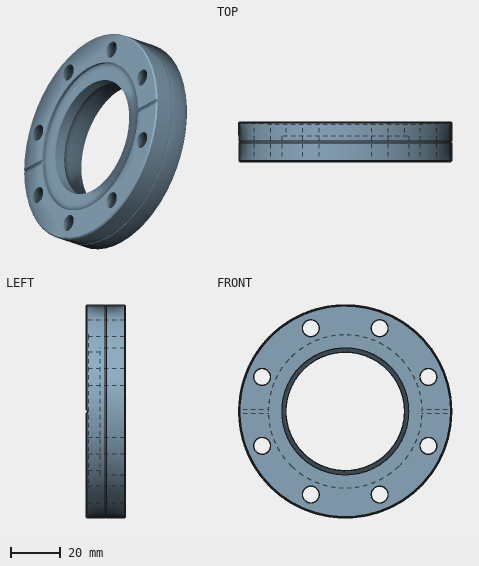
import cadquery as cq

outer_diameter = 85.7
thickness = 16.0
front_y = -thickness / 2
back_y = thickness / 2
edge_chamfer = 0.5

bore_diameter = 47.6
counterbore_diameter = 51.1
counterbore_depth = 10.3

recess_diameter = 61.7
recess_depth = 1.1

bolt_hole_count = 8
bolt_hole_diameter = 6.7
bolt_circle_radius = 36.2
bolt_start_angle = 180 / bolt_hole_count

rim_groove_width = 0.8
rim_groove_depth = 0.25

back_groove_radius = 0.85
back_groove_depth = 0.7


def cylinder(diameter, start_y, end_y):
    """Solid cylinder along the Y axis between two Y positions."""
    plane = cq.Plane(origin=(0, start_y, 0), xDir=(1, 0, 0), normal=(0, 1, 0))
    return cq.Workplane(plane).circle(diameter / 2).extrude(end_y - start_y)


def bolt_holes():
    plane = cq.Plane(origin=(0, front_y, 0), xDir=(1, 0, 0), normal=(0, 1, 0))
    return (
        cq.Workplane(plane)
        .polarArray(bolt_circle_radius, bolt_start_angle, 360, bolt_hole_count)
        .circle(bolt_hole_diameter / 2)
        .extrude(thickness)
    )


def rim_groove():
    half_width = rim_groove_width / 2
    floor_diameter = outer_diameter - 2 * rim_groove_depth
    band = cylinder(outer_diameter, -half_width, half_width)
    return band.cut(cylinder(floor_diameter, -half_width, half_width))


def back_groove():
    axis_y = back_y + back_groove_radius - back_groove_depth
    return (
        cq.Workplane("YZ")
        .center(axis_y, 0)
        .circle(back_groove_radius)
        .extrude(outer_diameter / 2, both=True)
    )


body = cylinder(outer_diameter, front_y, back_y).edges().chamfer(edge_chamfer)
bore = cylinder(bore_diameter, front_y, back_y)
counterbore = cylinder(counterbore_diameter, front_y, front_y + counterbore_depth)
recess = cylinder(recess_diameter, back_y - recess_depth, back_y)

result = (
    body.cut(bore)
    .cut(counterbore)
    .cut(recess)
    .cut(bolt_holes())
    .cut(rim_groove())
    .cut(back_groove())
)